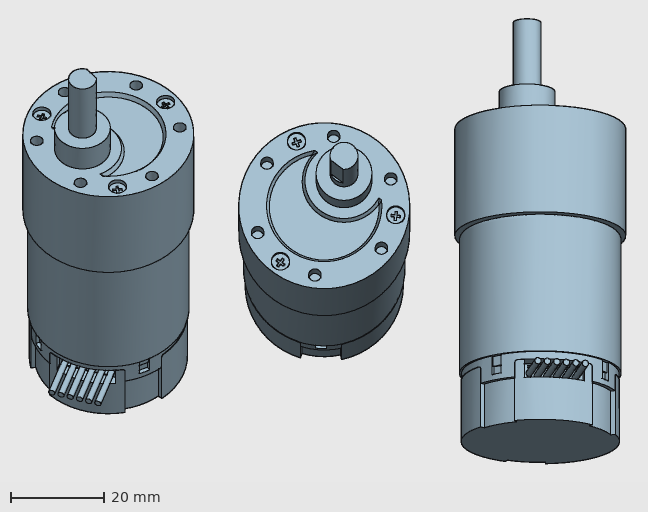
import cadquery as cq
import math

motor_bottom_z = 15.25
gearbox_bottom_z = 46.1
gearbox_top_z = 70.0
boss_height = 6.5
shaft_length = 15.5
boss_top_z = gearbox_top_z + boss_height
shaft_top_z = boss_top_z + shaft_length

gearbox_radius = 18.4
shaft_offset_y = -7.0
boss_radius = 6.0
shaft_radius = 3.0
flat_distance = 2.5
flat_length = 12.0

face_circle_radius = 15.5
mount_hole_diameter = 2.7
mount_hole_depth = 4.0
mount_hole_angles = [0, 60, 120, 180, 240, 300]
screw_diameter = 3.9
screw_recess_depth = 1.0
screw_angles = [90, 210, 330]
cross_length = 2.0
cross_width = 0.5
cross_depth = 0.5

crescent_depth = 1.0
crescent_outer_radius = 12.4
crescent_inner_radius = 8.4
crescent_wall_run = 0.6
crescent_tip_y = -8.5

motor_radius = 17.4
motor_top_fillet = 1.0

core_radius = 16.0
band_radius = 16.95
band_bottom_z = 9.8
panel_radius = 17.05
panel_top_z = 13.6
panel_corner_fillet = 0.7
wire_angle = -55.0
notch_spread = 45.0
notch_angles = [wire_angle - notch_spread, wire_angle + notch_spread, wire_angle + 180]
notch_sweep = 30.0

slot_width = 2.4
slot_bottom_z = 11.1
slot_step_z = 13.05
slot_upper_floor_radius = 16.4
slot_lower_floor_radius = 16.0

opening_width = 13.2
opening_bottom_z = 9.5
rim_top_z = 13.05
rim_face_distance = 14.0
socket_floor_distance = 12.5
rim_side_wall = 1.1
rim_edge_wall = 0.3
wire_count = 6
wire_pitch = 2.08
wire_radius = 0.7
wire_z = 11.0
wire_end_distance = 23.75


def cylinder(radius, bottom_z, top_z, x=0.0, y=0.0):
    base = cq.Workplane("XY", origin=(x, y, bottom_z))
    return base.circle(radius).extrude(top_z - bottom_z)


def cone(bottom_radius, top_radius, bottom_z, top_z, y=0.0):
    height = top_z - bottom_z
    point = cq.Vector(0, y, bottom_z)
    return cq.Workplane(cq.Solid.makeCone(bottom_radius, top_radius, height, point))


def radial_block(angle, start_distance, end_distance, width, bottom_z, top_z):
    """Block lying along the direction `angle`, centred across it."""
    block = cq.Workplane("XY").box(
        end_distance - start_distance, width, top_z - bottom_z, centered=(False, True, False)
    )
    return block.translate((start_distance, 0, bottom_z)).rotate((0, 0, 0), (0, 0, 1), angle)


def on_face_circle(angle):
    turn = math.radians(angle)
    return face_circle_radius * math.cos(turn), face_circle_radius * math.sin(turn)


def make_shaft():
    shaft = cylinder(shaft_radius, boss_top_z, shaft_top_z, y=shaft_offset_y)
    removed = cq.Workplane("XY").box(
        2 * shaft_radius, shaft_radius, flat_length, centered=(True, False, False)
    )
    flat_y = shaft_offset_y + flat_distance
    return shaft.cut(removed.translate((0, flat_y, shaft_top_z - flat_length)))


def make_crescent():
    floor_z = gearbox_top_z - crescent_depth
    bowl = cone(
        crescent_outer_radius - crescent_wall_run, crescent_outer_radius, floor_z, gearbox_top_z
    )
    island = cone(
        crescent_inner_radius + crescent_wall_run,
        crescent_inner_radius,
        floor_z,
        gearbox_top_z,
        y=shaft_offset_y,
    )
    kept_side = (
        cq.Workplane("YZ", origin=(-gearbox_radius, 0, 0))
        .moveTo(crescent_tip_y, gearbox_top_z)
        .lineTo(crescent_tip_y + crescent_depth, floor_z)
        .lineTo(gearbox_radius, floor_z)
        .lineTo(gearbox_radius, gearbox_top_z)
        .close()
        .extrude(2 * gearbox_radius)
    )
    return bowl.cut(island).intersect(kept_side)


def make_screw_recess(angle):
    x, y = on_face_circle(angle)
    head_z = gearbox_top_z - screw_recess_depth
    recess = cylinder(screw_diameter / 2, head_z, gearbox_top_z, x, y)
    for turn in (0, 90):
        bar = cq.Workplane("XY").box(
            cross_length, cross_width, cross_depth, centered=(True, True, False)
        )
        bar = bar.rotate((0, 0, 0), (0, 0, 1), angle + turn)
        recess = recess.union(bar.translate((x, y, head_z - cross_depth)))
    return recess


def make_gearbox():
    gearbox = cylinder(gearbox_radius, gearbox_bottom_z, gearbox_top_z)
    gearbox = gearbox.cut(make_crescent())
    for angle in mount_hole_angles:
        x, y = on_face_circle(angle)
        hole_bottom_z = gearbox_top_z - mount_hole_depth
        hole = cylinder(mount_hole_diameter / 2, hole_bottom_z, gearbox_top_z, x, y)
        gearbox = gearbox.cut(hole)
    for angle in screw_angles:
        gearbox = gearbox.cut(make_screw_recess(angle))
    boss = cylinder(boss_radius, gearbox_top_z, boss_top_z, y=shaft_offset_y)
    return gearbox.union(boss).union(make_shaft())


def make_motor():
    motor = cylinder(motor_radius, motor_bottom_z, gearbox_bottom_z)
    return motor.faces(">Z").edges().fillet(motor_top_fillet)


def make_panel(start_angle, end_angle):
    """Curved cap panel between two notches, rounded at its upper corners."""
    wall = panel_radius - core_radius
    profile = cq.Workplane("XZ").center(core_radius, 0).rect(wall, panel_top_z, centered=False)
    axis_start = (-core_radius, 0, 0)
    axis_end = (-core_radius, 1, 0)
    panel = profile.revolve(end_angle - start_angle, axis_start, axis_end)
    return panel.faces(">Z").edges("%LINE").fillet(panel_corner_fillet)


def make_latch_slot(angle):
    upper = radial_block(
        angle, slot_upper_floor_radius, panel_radius, slot_width, slot_step_z, motor_bottom_z
    )
    lower = radial_block(
        angle, slot_lower_floor_radius, panel_radius, slot_width, slot_bottom_z, slot_step_z
    )
    return upper.union(lower)


def make_cap():
    cap = cylinder(core_radius, 0, band_bottom_z)
    cap = cap.union(cylinder(band_radius, band_bottom_z, motor_bottom_z))
    ordered = sorted(notch_angles)
    for index, notch in enumerate(ordered):
        following = ordered[index + 1] if index + 1 < len(ordered) else ordered[0] + 360
        start = notch + notch_sweep / 2
        panel = make_panel(start, following - notch_sweep / 2)
        cap = cap.union(panel.rotate((0, 0, 0), (0, 0, 1), start))
    for angle in notch_angles:
        cap = cap.cut(make_latch_slot(angle))
    return cap


def add_connector(cap):
    opening = radial_block(
        wire_angle,
        socket_floor_distance,
        panel_radius,
        opening_width,
        opening_bottom_z,
        panel_top_z,
    )
    rim = radial_block(
        wire_angle,
        socket_floor_distance,
        rim_face_distance,
        opening_width,
        opening_bottom_z,
        rim_top_z,
    )
    socket = radial_block(
        wire_angle,
        socket_floor_distance,
        rim_face_distance,
        opening_width - 2 * rim_side_wall,
        opening_bottom_z + rim_edge_wall,
        rim_top_z - rim_edge_wall,
    )
    return cap.cut(opening).union(rim.cut(socket))


def make_wire(index):
    offset = (index - (wire_count - 1) / 2) * wire_pitch
    length = wire_end_distance - socket_floor_distance
    base = cq.Workplane("YZ", origin=(socket_floor_distance, 0, 0))
    wire = base.center(offset, wire_z).circle(wire_radius).extrude(length)
    return wire.rotate((0, 0, 0), (0, 0, 1), wire_angle)


result = add_connector(make_cap()).union(make_motor()).union(make_gearbox())
for wire_index in range(wire_count):
    result = result.union(make_wire(wire_index))